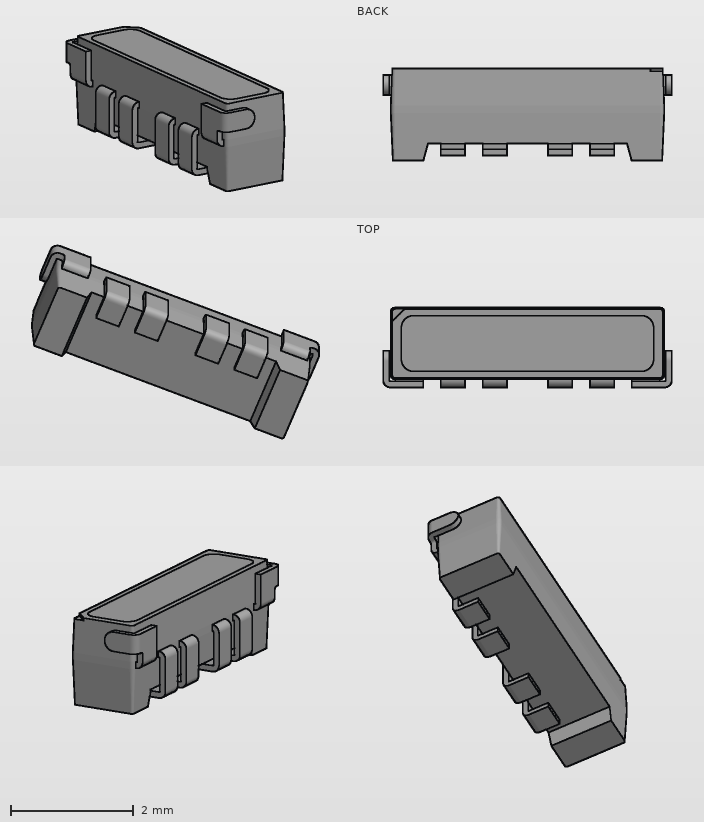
import cadquery as cq
import math

total_length = 4.7
total_height = 1.5
half_length = total_length / 2

housing_length = 4.45
housing_depth = 1.17
corner_radius = 0.07
draft_angle = 2.5
band_bottom = 0.77
band_top = 0.9
front_face = -housing_depth / 2

notch_height = 0.275
notch_half_width_bottom = 1.69
notch_half_width_top = 1.615

mark_leg = 0.197
mark_depth = 0.04
mark_overshoot = 0.045

lens_length = 4.105
lens_width = 0.905
lens_radius = 0.197
lens_depth = total_height - band_top

metal_thickness = 0.105
bend_inner_radius = 0.02
bend_standoff = 0.01
bend_outer_radius = bend_inner_radius + metal_thickness
arc_midpoint_factor = math.sqrt(0.5)
bend_axis_y = front_face - bend_standoff
metal_front = bend_axis_y - bend_outer_radius
metal_back = metal_front + metal_thickness

lead_width = 0.4
lead_centers = [-1.213, -0.53, 0.53, 1.213]
lead_top = 0.875
lead_bottom = 0.08
lead_foot_length = 0.47

tab_inner_x = 1.69
tab_skirt_x = 2.153
tab_top = 1.395
arm_height = 0.33
arm_reach = 0.6
skirt_fillet = 0.04
arm_bottom = tab_top - arm_height
tab_bend_x = half_length - bend_outer_radius


def rounded_block(length, width, radius, bottom, height, taper=0.0):
    """Upright block with rounded corners, narrowing along its height by the taper angle."""
    outline = cq.Sketch().rect(length, width).vertices().fillet(radius)
    return cq.Workplane("XY", origin=(0, 0, bottom)).placeSketch(outline).extrude(height, taper=taper)


def make_lens():
    return rounded_block(lens_length, lens_width, lens_radius, total_height - lens_depth, lens_depth)


def make_underside_notch():
    return (
        cq.Workplane("XZ")
        .polyline([
            (-notch_half_width_bottom, 0),
            (-notch_half_width_top, notch_height),
            (notch_half_width_top, notch_height),
            (notch_half_width_bottom, 0),
        ])
        .close()
        .extrude(housing_depth, both=True)
    )


def make_corner_mark():
    rim_inset = (total_height - band_top) * math.tan(math.radians(draft_angle))
    corner_x = rim_inset - housing_length / 2
    corner_y = housing_depth / 2 - rim_inset
    leg = mark_leg + 2 * mark_overshoot
    left = corner_x - mark_overshoot
    back = corner_y + mark_overshoot
    return (
        cq.Workplane("XY", origin=(0, 0, total_height - mark_depth))
        .polyline([(left, back), (left + leg, back), (left, back - leg)])
        .close()
        .extrude(mark_depth)
    )


def make_housing():
    """Belt with drafted halves above and below it, and a cavity for the lens."""
    band = rounded_block(housing_length, housing_depth, corner_radius, band_bottom, band_top - band_bottom)
    upper = rounded_block(
        housing_length, housing_depth, corner_radius, band_top, total_height - band_top, draft_angle)
    lower = rounded_block(housing_length, housing_depth, corner_radius, band_bottom, -band_bottom, draft_angle)
    body = band.union(upper).union(lower)
    return body.cut(make_underside_notch()).cut(make_corner_mark()).cut(make_lens())


def make_lead(center_x):
    """C-shaped lead: leaves the housing face, drops down and turns back under the notch."""
    outer_mid = bend_outer_radius * arc_midpoint_factor
    inner_mid = bend_inner_radius * arc_midpoint_factor
    top_bend = lead_top - bend_outer_radius
    bottom_bend = lead_bottom + bend_outer_radius
    foot_end = metal_front + lead_foot_length
    return (
        cq.Workplane("YZ", origin=(center_x - lead_width / 2, 0, 0))
        .moveTo(front_face, lead_top)
        .lineTo(bend_axis_y, lead_top)
        .threePointArc((bend_axis_y - outer_mid, top_bend + outer_mid), (metal_front, top_bend))
        .lineTo(metal_front, bottom_bend)
        .threePointArc((bend_axis_y - outer_mid, bottom_bend - outer_mid), (bend_axis_y, lead_bottom))
        .lineTo(foot_end, lead_bottom)
        .lineTo(foot_end, lead_bottom + metal_thickness)
        .lineTo(bend_axis_y, lead_bottom + metal_thickness)
        .threePointArc((bend_axis_y - inner_mid, bottom_bend - inner_mid), (metal_back, bottom_bend))
        .lineTo(metal_back, top_bend)
        .threePointArc(
            (bend_axis_y - inner_mid, top_bend + inner_mid), (bend_axis_y, lead_top - metal_thickness))
        .lineTo(front_face, lead_top - metal_thickness)
        .close()
        .extrude(lead_width)
    )


def quarter_bend(workplane, center, height):
    """Quarter ring of sheet metal, in the third quadrant of the plane, extruded by height."""
    u, v = center
    outer_mid = bend_outer_radius * arc_midpoint_factor
    inner_mid = bend_inner_radius * arc_midpoint_factor
    return (
        workplane
        .moveTo(u - bend_outer_radius, v)
        .threePointArc((u - outer_mid, v - outer_mid), (u, v - bend_outer_radius))
        .lineTo(u, v - bend_inner_radius)
        .threePointArc((u - inner_mid, v - inner_mid), (u - bend_inner_radius, v))
        .close()
        .extrude(height)
    )


def make_left_tab():
    """Front plate rooted in the housing belt, with an arm wrapped around the end of the housing."""
    root_width = tab_skirt_x - tab_inner_x
    plate = (
        cq.Workplane("XZ", origin=(0, metal_back, 0))
        .moveTo(-tab_inner_x, band_top)
        .lineTo(-tab_inner_x, tab_top)
        .lineTo(-tab_bend_x, tab_top)
        .lineTo(-tab_bend_x, arm_bottom)
        .lineTo(-tab_skirt_x - skirt_fillet, arm_bottom)
        .radiusArc((-tab_skirt_x, arm_bottom - skirt_fillet), skirt_fillet)
        .lineTo(-tab_skirt_x, band_top)
        .close()
        .extrude(metal_thickness)
    )
    root_bend = quarter_bend(
        cq.Workplane("YZ", origin=(-tab_skirt_x, 0, 0)), (bend_axis_y, band_top), root_width)
    corner_bend = quarter_bend(
        cq.Workplane("XY", origin=(0, 0, arm_bottom)), (-tab_bend_x, bend_axis_y), arm_height)
    tip_radius = arm_height / 2
    tip_center_y = metal_front + arm_reach - tip_radius
    arm = (
        cq.Workplane("YZ", origin=(-half_length, 0, 0))
        .moveTo(bend_axis_y, arm_bottom)
        .lineTo(tip_center_y, arm_bottom)
        .threePointArc((tip_center_y + tip_radius, arm_bottom + tip_radius), (tip_center_y, tab_top))
        .lineTo(bend_axis_y, tab_top)
        .close()
        .extrude(metal_thickness)
    )
    root = (
        cq.Workplane("XY", origin=(-tab_skirt_x, bend_axis_y, band_top - bend_outer_radius))
        .box(root_width, bend_standoff, metal_thickness, centered=False)
    )
    tab = plate
    for section in [root_bend, root, corner_bend, arm]:
        tab = tab.union(section, clean=False)
    return tab


housing = make_housing()
lens = make_lens()
leads = [make_lead(center_x) for center_x in lead_centers]
left_tab = make_left_tab()
tabs = [left_tab, left_tab.mirror("YZ")]

result = cq.Compound.makeCompound(
    [housing.solids().val(), lens.val()]
    + [lead.val() for lead in leads]
    + [tab.solids().val() for tab in tabs]
)